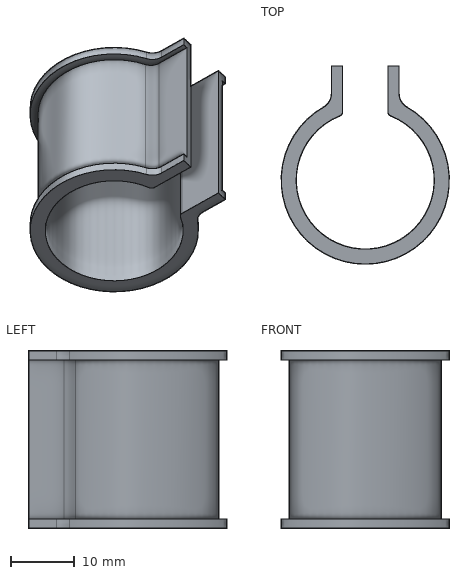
import cadquery as cq
import math

bore_radius = 10.85
tube_radius = 12.0
flange_radius = 13.25
slot_half_width = 3.55
tube_arm_thickness = 1.0
flange_arm_thickness = 1.8
arm_end_y = 18.0
total_height = 28.0
flange_thickness = 1.5
inner_blend_radius = 0.75
tube_blend_radius = 2.1
flange_blend_radius = 2.4


def blend_points(wall_x, circle_radius, blend_radius):
    """Start, middle and end of the arc joining an arm face at wall_x to a circle about the axis."""
    center_x = wall_x + blend_radius
    center_distance = circle_radius + blend_radius
    center_y = math.sqrt(center_distance**2 - center_x**2)
    half_sweep = math.atan2(center_y, center_x) / 2
    start = (wall_x, center_y)
    middle = (
        center_x - blend_radius * math.cos(half_sweep),
        center_y - blend_radius * math.sin(half_sweep),
    )
    end = (
        center_x * circle_radius / center_distance,
        center_y * circle_radius / center_distance,
    )
    return start, middle, end


def mirrored(point):
    return (-point[0], point[1])


def clamp_section(outer_radius, arm_thickness, outer_blend_radius, height):
    """Open ring with two parallel arms, extruded upward from Z = 0."""
    arm_outer_x = slot_half_width + arm_thickness
    outer_start, outer_middle, outer_end = blend_points(arm_outer_x, outer_radius, outer_blend_radius)
    inner_start, inner_middle, inner_end = blend_points(slot_half_width, bore_radius, inner_blend_radius)
    return (
        cq.Workplane("XY")
        .moveTo(slot_half_width, arm_end_y)
        .lineTo(arm_outer_x, arm_end_y)
        .lineTo(*outer_start)
        .threePointArc(outer_middle, outer_end)
        .threePointArc((0, -outer_radius), mirrored(outer_end))
        .threePointArc(mirrored(outer_middle), mirrored(outer_start))
        .lineTo(-arm_outer_x, arm_end_y)
        .lineTo(-slot_half_width, arm_end_y)
        .lineTo(*mirrored(inner_start))
        .threePointArc(mirrored(inner_middle), mirrored(inner_end))
        .threePointArc((0, -bore_radius), inner_end)
        .threePointArc(inner_middle, inner_start)
        .close()
        .extrude(height)
    )


result = clamp_section(tube_radius, tube_arm_thickness, tube_blend_radius, total_height)
flange = clamp_section(flange_radius, flange_arm_thickness, flange_blend_radius, flange_thickness)
for flange_bottom_z in (0, total_height - flange_thickness):
    result = result.union(flange.translate((0, 0, flange_bottom_z)))